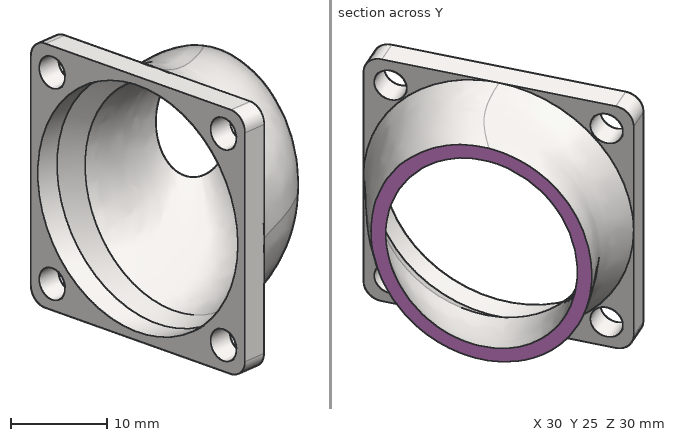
import cadquery as cq
import math

FLANGE_SIZE = 30.0
FLANGE_THICKNESS = 3.0
CORNER_RADIUS = 2.0
HOLE_SPACING = 24.0
HOLE_DIAMETER = 3.6
MOUTH_RADIUS = 14.0

WALL = 1.65
OUTLET_OVERRUN = 0.6
FLANGE_HALF = FLANGE_SIZE / 2
OUTLET_REACH = 25.0
OUTLET_WIDTH = 7.92
OUTLET_LEFT = (-FLANGE_HALF, OUTLET_REACH - OUTLET_WIDTH)
OUTLET_RIGHT = (-FLANGE_HALF + OUTLET_WIDTH, OUTLET_REACH)
OUTLET_HALF_HEIGHT = 8.0

BASE_SECTION = ((-FLANGE_HALF, FLANGE_THICKNESS), (FLANGE_HALF, FLANGE_THICKNESS), FLANGE_HALF)
NECK_SECTION = ((-13.2, 6.0), (13.5, 6.45), 14.05)
BEND_SECTIONS = [
    ((-13.2, 8.85), (9.45, 14.4), 13.4),
    ((-13.92, 12.6), (2.1, 20.7), 11.5),
    ((-14.5, 15.0), (-3.27, 23.37), 9.72),
]
OUTLET_SECTION = (OUTLET_LEFT, OUTLET_RIGHT, OUTLET_HALF_HEIGHT)

MOUTH_SECTION = ((-MOUTH_RADIUS, FLANGE_THICKNESS), (MOUTH_RADIUS, FLANGE_THICKNESS), MOUTH_RADIUS)
THROAT_SECTION = ((-11.7, 4.8), (13.2, 4.8), 12.9)


def ellipse_wire(section):
    """Ellipse in a plane parallel to Z, spanning the section's two ends."""
    left, right, half_height = section
    center = ((left[0] + right[0]) / 2, (left[1] + right[1]) / 2, 0)
    across = (right[0] - left[0], right[1] - left[1], 0)
    normal = (across[1], -across[0], 0)
    plane = cq.Plane(origin=center, xDir=across, normal=normal)
    half_width = math.dist(left, right) / 2
    return cq.Workplane(plane).ellipse(half_width, half_height).wires().val()


def loft(sections, ruled=False):
    return cq.Solid.makeLoft([ellipse_wire(section) for section in sections], ruled)


def inset(section):
    """Section shrunk by the wall thickness all round."""
    left, right, half_height = section
    share = WALL / math.dist(left, right)
    step_x = (right[0] - left[0]) * share
    step_y = (right[1] - left[1]) * share
    return (
        (left[0] + step_x, left[1] + step_y),
        (right[0] - step_x, right[1] - step_y),
        half_height - WALL,
    )


def shift_outward(section, distance):
    """Section moved out of the open end, along the 45 degree outlet axis."""
    left, right, half_height = section
    step = distance * math.sqrt(0.5)
    return (
        (left[0] - step, left[1] + step),
        (right[0] - step, right[1] + step),
        half_height,
    )


def make_flange():
    plate = (
        cq.Workplane("XZ")
        .rect(FLANGE_SIZE, FLANGE_SIZE)
        .extrude(-FLANGE_THICKNESS)
        .edges("|Y")
        .fillet(CORNER_RADIUS)
    )
    holes = (
        cq.Workplane("XZ")
        .rect(HOLE_SPACING, HOLE_SPACING, forConstruction=True)
        .vertices()
        .circle(HOLE_DIAMETER / 2)
        .extrude(-FLANGE_THICKNESS)
    )
    return plate.cut(holes)


def make_elbow():
    return loft([BASE_SECTION, NECK_SECTION] + BEND_SECTIONS + [OUTLET_SECTION])


def make_cavity():
    mouth = cq.Workplane("XZ").circle(MOUTH_RADIUS).extrude(-FLANGE_THICKNESS)
    taper = loft([MOUTH_SECTION, THROAT_SECTION], ruled=True)
    inner_outlet = inset(OUTLET_SECTION)
    inner_bends = [inset(section) for section in BEND_SECTIONS]
    bend = loft([THROAT_SECTION] + inner_bends + [inner_outlet])
    past_outlet = shift_outward(inner_outlet, OUTLET_OVERRUN)
    opening = loft([inner_outlet, past_outlet], ruled=True)
    return mouth.union(taper).union(bend).union(opening)


result = make_flange().union(make_elbow()).cut(make_cavity())